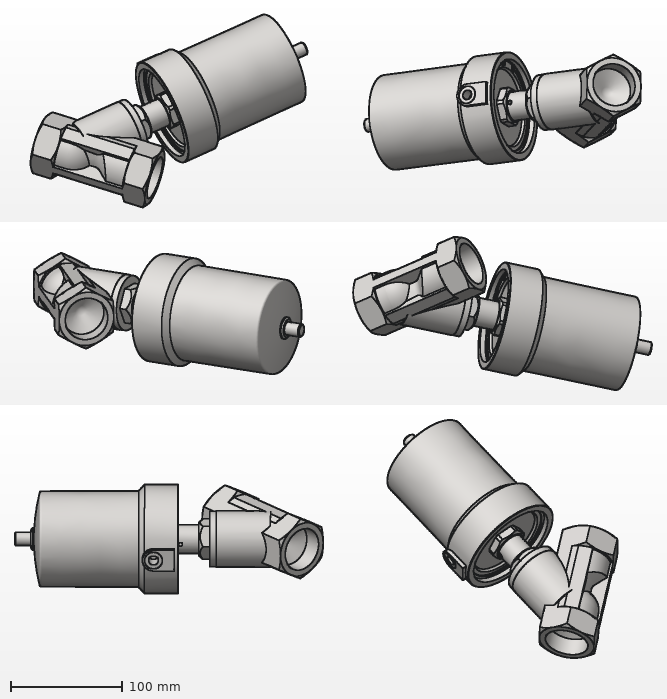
import cadquery as cq
import math

actuator_tilt = 50
axis_cross_x = -22.75

body_length = 110
hex_across_flats = 50
hex_end_length = 22
hex_chamfer_angle = 30
port_diameter = 38.95
port_depth = 16.5
port_tip_angle = 118
channel_radius = 23.2
side_rib_height = 25
side_rib_half_width = 6.5
bottom_rib_half_width = 5
neck_radius = 25.3
neck_start_at = 7.5
neck_end_at = 56
middle_inset = 0.1
hex_overlap = 3

waist_axis_y = 20
waist_root_x = 1.5
waist_root_y = -11.8
waist_root_radius = 8
waist_inlet_slope = 3
waist_outlet_slope = 43

bonnet_cap_radius = 25
bonnet_cap_height = 6
bonnet_hex_across_flats = 32
bonnet_hex_height = 10
bonnet_hex_face_radius = 14.6
bonnet_hex_chamfer_angle = 45
tube_radius = 13
lock_nut_at = 91
lock_nut_corner_radius = 17.6
lock_nut_chamfer_angle = 30
vent_diameter = 3.5
vent_at = 88.3

flange_radius = 49
flange_start_at = 90.2
flange_end_at = 120.5
flange_edge_chamfer = 0.5
shell_start_at = 125.8
shell_start_radius = 43.3
shell_end_at = 214.4
shell_end_radius = 43
shell_edge_fillet = 2
dome_top_at = 220
dome_mid_radius = 24
dome_mid_at = 218.2
mouth_radius = 85 / 2

pad_face = 52
pad_width = 20
pad_start_at = 93.9
air_port_at = 112.4
air_port_diameter = 8.7
air_port_depth = 14
seal_face_diameter = 16
seal_face_depth = 0.5

plate_face_at = 96.6
plate_end_at = 105
plate_recess_at = 99.2
plate_recess_rim_radius = 36
plate_recess_floor_radius = 34.8

ring_outer_radius = 44
ring_inner_radius = 40
ring_thickness = 1.5
ring_lug_radius = 2.8
ring_lug_center_radius = 40.2
ring_lug_angle = 16
ring_hole_diameter = 1.5

indicator_radius = 6
indicator_end_at = 237
indicator_chamfer = 1
collar_radius = 10
collar_top_radius = 8
collar_rim_at = 221
collar_top_at = 222.5
indicator_base_at = 212

axis_direction = cq.Vector(math.cos(math.radians(actuator_tilt)), math.sin(math.radians(actuator_tilt)), 0)
across_direction = cq.Vector(-axis_direction.y, axis_direction.x, 0)
actuator_plane = cq.Plane(
    origin=(axis_cross_x, 0, 0), xDir=across_direction.toTuple(), normal=axis_direction.toTuple()
)


def on_actuator_axis(upright):
    """Move a shape built upright on Z so that Z becomes the actuator axis and Y becomes up."""
    return cq.Workplane(upright.solids().val().moved(cq.Location(actuator_plane)))


def cylinder(radius, start, end):
    return cq.Workplane("XY").workplane(offset=start).circle(radius).extrude(end - start)


def turned(points):
    """Revolve a closed (radius, height) outline about Z."""
    return cq.Workplane("XZ").polyline(points).close().revolve(360, (0, 0, 0), (0, 1, 0))


def hex_prism(across_flats, start, end):
    """Hexagon with corners on the X axis."""
    corner_diameter = across_flats / math.cos(math.pi / 6)
    return cq.Workplane("XY").workplane(offset=start).polygon(6, corner_diameter).extrude(end - start)


def chamfered_envelope(face_radius, angle, start, end, corner_radius):
    """Round blank with both ends bevelled, which trims the corners of a hexagon."""
    bevel = (corner_radius - face_radius) * math.tan(math.radians(angle))
    return turned(
        [
            (0, start),
            (face_radius, start),
            (corner_radius, start + bevel),
            (corner_radius, end - bevel),
            (face_radius, end),
            (0, end),
        ]
    )


def flow_hex(across_flats, start, end):
    """Hexagon along X with corners pointing up and down."""
    corner_diameter = across_flats / math.cos(math.pi / 6)
    return (
        cq.Workplane("YZ").workplane(offset=start).polygon(6, corner_diameter).extrude(end - start)
        .rotate((0, 0, 0), (1, 0, 0), 90)
    )


def hex_end(start):
    """Wrench hexagon at one end of the valve body."""
    end = start + hex_end_length
    corner_radius = hex_across_flats / math.sqrt(3)
    blank = chamfered_envelope(hex_across_flats / 2, hex_chamfer_angle, start, end, corner_radius)
    return flow_hex(hex_across_flats, start, end).intersect(blank.rotate((0, 0, 0), (0, 1, 0), 90))


def box(x_range, y_range, z_range):
    size = [high - low for low, high in (x_range, y_range, z_range)]
    return cq.Workplane("XY").box(*size, centered=False).translate((x_range[0], y_range[0], z_range[0]))


def build_waist(end_x):
    """Solid that narrows the channel to a rounded saddle, with a sloping flank on each side."""
    center_y = waist_root_y - waist_root_radius
    inlet = math.radians(waist_inlet_slope)
    outlet = math.radians(waist_outlet_slope)
    inlet_tangent = (
        waist_root_x - waist_root_radius * math.sin(inlet),
        center_y + waist_root_radius * math.cos(inlet),
    )
    outlet_tangent = (
        waist_root_x + waist_root_radius * math.sin(outlet),
        center_y + waist_root_radius * math.cos(outlet),
    )
    inlet_end_y = inlet_tangent[1] - (inlet_tangent[0] - axis_cross_x) * math.tan(inlet)
    outlet_end_y = outlet_tangent[1] - (end_x - outlet_tangent[0]) * math.tan(outlet)
    return (
        cq.Workplane("XY")
        .moveTo(axis_cross_x, waist_axis_y)
        .lineTo(axis_cross_x, inlet_end_y)
        .lineTo(*inlet_tangent)
        .threePointArc((waist_root_x, waist_root_y), outlet_tangent)
        .lineTo(end_x, outlet_end_y)
        .lineTo(end_x, waist_axis_y)
        .close()
        .revolve(360, (axis_cross_x, waist_axis_y, 0), (end_x, waist_axis_y, 0))
    )


def channel_tube(start, end):
    return cq.Workplane("YZ").workplane(offset=start).circle(channel_radius).extrude(end - start)


def build_channel(half_length):
    """Lower half of the flow channel: inlet with a ball-shaped bend, then the narrowed outlet."""
    inlet = channel_tube(-half_length, axis_cross_x)
    bend = cq.Workplane("XY").sphere(channel_radius).translate((axis_cross_x, 0, 0))
    outlet = channel_tube(axis_cross_x, half_length).intersect(build_waist(half_length))
    lower_half = box((-half_length, half_length), (-channel_radius, 0), (-channel_radius, channel_radius))
    return inlet.union(bend).union(outlet).intersect(lower_half)


def build_valve_body():
    half_length = body_length / 2
    half_middle = half_length - hex_end_length
    half_height = hex_across_flats / 2
    shoulder_y = half_height / 2
    flat_top = (-side_rib_height, side_rib_height)
    middle = (-half_middle, half_middle)
    overlapping = (-half_middle - hex_overlap, half_middle + hex_overlap)

    full_hex = flow_hex(hex_across_flats, *overlapping)
    upper = full_hex.intersect(box(overlapping, (shoulder_y, half_height), flat_top))
    inset_hex = flow_hex(hex_across_flats - 2 * middle_inset, *middle)
    side_ribs = inset_hex.intersect(box(middle, (-side_rib_half_width, shoulder_y), flat_top))
    bottom_rib = box(overlapping, (-half_height, 0), (-bottom_rib_half_width, bottom_rib_half_width))

    body = upper.union(side_ribs).union(bottom_rib).union(build_channel(half_middle))
    body = body.union(on_actuator_axis(cylinder(neck_radius, neck_start_at, neck_end_at)))
    for start in (-half_length, half_middle):
        body = body.union(hex_end(start))

    port_radius = port_diameter / 2
    tip_depth = port_depth + port_radius / math.tan(math.radians(port_tip_angle / 2))
    port = turned([(0, 0), (port_radius, 0), (port_radius, port_depth), (0, tip_depth)])
    for turn, x in ((90, -half_length), (-90, half_length)):
        body = body.cut(port.rotate((0, 0, 0), (0, 1, 0), turn).translate((x, 0, 0)))
    return body.solids()


def bonnet_hex(start, end, chamfer_angle):
    """Hexagon with its upper end bevelled."""
    corner_radius = bonnet_hex_across_flats / math.sqrt(3)
    bevel = (corner_radius - bonnet_hex_face_radius) * math.tan(math.radians(chamfer_angle))
    blank = turned(
        [
            (0, start),
            (corner_radius, start),
            (corner_radius, end - bevel),
            (bonnet_hex_face_radius, end),
            (0, end),
        ]
    )
    return hex_prism(bonnet_hex_across_flats, start, end).intersect(blank)


def lock_nut():
    """Hexagon against the base plate, bevelled underneath and with its corners turned down."""
    nut = bonnet_hex(-plate_recess_at, -lock_nut_at, lock_nut_chamfer_angle)
    nut = nut.rotate((0, 0, 0), (1, 0, 0), 180)
    return nut.intersect(cylinder(lock_nut_corner_radius, lock_nut_at, plate_recess_at))


def build_bonnet():
    cap_end = neck_end_at + bonnet_cap_height
    bonnet = cylinder(bonnet_cap_radius, neck_end_at, cap_end)
    hex_top = cap_end + bonnet_hex_height
    bonnet = bonnet.union(bonnet_hex(cap_end, hex_top, bonnet_hex_chamfer_angle))
    bonnet = bonnet.union(cylinder(tube_radius, cap_end, plate_recess_at))
    bonnet = bonnet.union(lock_nut())
    vent = cq.Workplane("YZ").center(0, vent_at).circle(vent_diameter / 2).extrude(tube_radius)
    return on_actuator_axis(bonnet.cut(vent))


def air_port_pad():
    """Pad standing on the flange, rounded toward the shell."""
    pad = (
        cq.Workplane("YZ")
        .moveTo(-pad_width / 2, pad_start_at)
        .lineTo(pad_width / 2, pad_start_at)
        .lineTo(pad_width / 2, air_port_at)
        .threePointArc((0, air_port_at + pad_width / 2), (-pad_width / 2, air_port_at))
        .close()
        .extrude(pad_face)
    )
    return pad.cut(cylinder(mouth_radius, flange_start_at, shell_start_at))


def build_housing():
    shell = (
        cq.Workplane("XZ")
        .moveTo(0, flange_start_at)
        .lineTo(flange_radius - flange_edge_chamfer, flange_start_at)
        .lineTo(flange_radius, flange_start_at + flange_edge_chamfer)
        .lineTo(flange_radius, flange_end_at)
        .lineTo(shell_start_radius, shell_start_at)
        .lineTo(shell_end_radius, shell_end_at)
        .threePointArc((dome_mid_radius, dome_mid_at), (0, dome_top_at))
        .close()
        .revolve(360, (0, 0, 0), (0, 1, 0))
    )
    shell_rim = cq.selectors.NearestToPointSelector((0, 0, shell_end_at))
    housing = shell.edges("%CIRCLE").edges(shell_rim).fillet(shell_edge_fillet).union(air_port_pad())

    air_port = cq.Workplane("YZ").workplane(offset=pad_face).center(0, air_port_at)
    housing = housing.cut(air_port.circle(air_port_diameter / 2).extrude(-air_port_depth))
    housing = housing.cut(air_port.circle(seal_face_diameter / 2).extrude(-seal_face_depth))

    housing = housing.cut(cylinder(mouth_radius, flange_start_at, plate_end_at))
    housing = housing.cut(cylinder(ring_outer_radius, plate_face_at - ring_thickness, plate_face_at))
    housing = housing.cut(cylinder(indicator_radius, indicator_base_at, dome_top_at))
    return on_actuator_axis(housing)


def build_base_plate():
    return on_actuator_axis(
        turned(
            [
                (0, plate_recess_at),
                (plate_recess_floor_radius, plate_recess_at),
                (plate_recess_rim_radius, plate_face_at),
                (mouth_radius, plate_face_at),
                (mouth_radius, plate_end_at),
                (0, plate_end_at),
            ]
        )
    )


def build_retaining_ring():
    """Open ring with a plier lug at each end; the gap points up."""
    level = plate_face_at - ring_thickness
    ring = cylinder(ring_outer_radius, level, plate_face_at)
    ring = ring.cut(cylinder(ring_inner_radius, level, plate_face_at))
    gap_half_width = ring_outer_radius * math.tan(math.radians(ring_lug_angle))
    gap = (
        cq.Workplane("XY").workplane(offset=level)
        .polyline([(0, 0), (gap_half_width, ring_outer_radius), (-gap_half_width, ring_outer_radius)])
        .close()
        .extrude(ring_thickness)
    )
    ring = ring.cut(gap)
    for side in (-1, 1):
        angle = math.radians(90 + side * ring_lug_angle)
        x = ring_lug_center_radius * math.cos(angle)
        y = ring_lug_center_radius * math.sin(angle)
        ring = ring.union(cylinder(ring_lug_radius, level, plate_face_at).translate((x, y, 0)))
        ring = ring.cut(cylinder(ring_hole_diameter / 2, level, plate_face_at).translate((x, y, 0)))
    return on_actuator_axis(ring)


def build_indicator():
    indicator = cylinder(indicator_radius, indicator_base_at, indicator_end_at)
    indicator = indicator.faces(">Z").chamfer(indicator_chamfer)
    collar = turned(
        [
            (0, dome_top_at),
            (collar_radius, dome_top_at),
            (collar_radius, collar_rim_at),
            (collar_top_radius, collar_top_at),
            (0, collar_top_at),
        ]
    )
    return on_actuator_axis(indicator.union(collar))


valve_body = build_valve_body()
bonnet = build_bonnet()
housing = build_housing()
base_plate = build_base_plate()
retaining_ring = build_retaining_ring()
indicator = build_indicator()

result = cq.Compound.makeCompound(
    [
        valve_body.val(),
        bonnet.val(),
        housing.val(),
        base_plate.val(),
        retaining_ring.val(),
        indicator.val(),
    ]
)